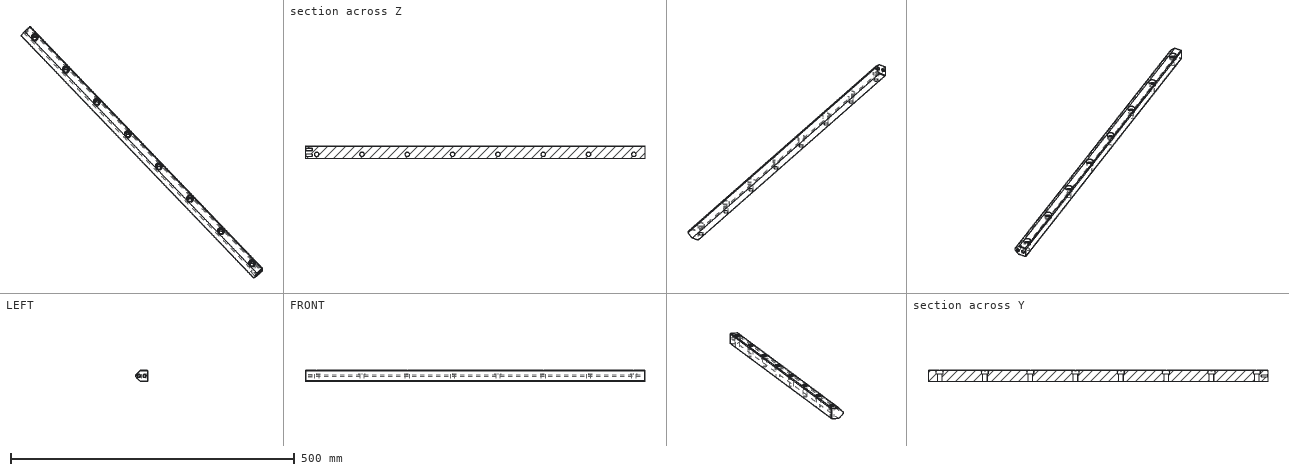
import cadquery as cq

LENGTH = 600.0
DEPTH = 22.0
HEIGHT = 20.0

TIP_FLAT = 3.0
VEE_DEPTH = (HEIGHT - TIP_FLAT) / 2
BACK_CHAMFER = 1.5
END_CHAMFER = 1.0

HOLE_COUNT = 8
HOLE_PITCH = 80.0
FIRST_HOLE_X = (LENGTH - HOLE_PITCH * (HOLE_COUNT - 1)) / 2
HOLE_Y = 7.5
HOLE_DIAMETER = 7.5
COUNTERBORE_DIAMETER = 11.5
COUNTERBORE_DEPTH = 6.5
COUNTERBORE_CHAMFER = 0.5

END_HOLE_DIAMETER = 4.2
END_HOLE_DEPTH = 12.0
END_HOLE_COUNTERSINK = 0.9
END_HOLE_YS = (6.0, 16.0)


def rail_body():
    """Extrude the vee profile and bevel the flat sides of both ends."""
    half_height = HEIGHT / 2
    half_tip = TIP_FLAT / 2
    shoulder_y = DEPTH - VEE_DEPTH
    profile = [
        (0, -half_height),
        (shoulder_y, -half_height),
        (DEPTH, -half_tip),
        (DEPTH, half_tip),
        (shoulder_y, half_height),
        (0, half_height),
    ]
    body = cq.Workplane("YZ").polyline(profile).close().extrude(LENGTH)
    body = body.edges("|X and <Y").chamfer(BACK_CHAMFER)
    envelope = cq.Workplane("XY").box(LENGTH, DEPTH, HEIGHT, centered=(False, False, True))
    bevelled = envelope.faces("<X or >X").edges("<Y or >Z or <Z").chamfer(END_CHAMFER)
    return body.intersect(bevelled)


def chamfered_bore(entry_plane, diameter, depth, chamfer):
    """Cutter for a blind hole running against the plane normal, bevelled at its mouth."""
    radius = diameter / 2
    bore = cq.Workplane(entry_plane).circle(radius).extrude(-depth)
    mouth = cq.Workplane(entry_plane).circle(radius + chamfer).extrude(-chamfer, taper=45)
    return bore.union(mouth)


def mounting_hole(x):
    """Through hole with a bevelled counterbore, sunk from the top face."""
    top = cq.Plane(origin=(x, HOLE_Y, HEIGHT / 2))
    through = cq.Workplane(top).circle(HOLE_DIAMETER / 2).extrude(-HEIGHT)
    counterbore = chamfered_bore(top, COUNTERBORE_DIAMETER, COUNTERBORE_DEPTH, COUNTERBORE_CHAMFER)
    return through.union(counterbore)


def end_hole(y):
    """Countersunk blind hole along X at mid height, from the -X end face."""
    end_face = cq.Plane(origin=(0, y, 0), normal=(-1, 0, 0), xDir=(0, 1, 0))
    return chamfered_bore(end_face, END_HOLE_DIAMETER, END_HOLE_DEPTH, END_HOLE_COUNTERSINK)


result = rail_body()
for index in range(HOLE_COUNT):
    result = result.cut(mounting_hole(FIRST_HOLE_X + index * HOLE_PITCH))
for hole_y in END_HOLE_YS:
    result = result.cut(end_hole(hole_y))